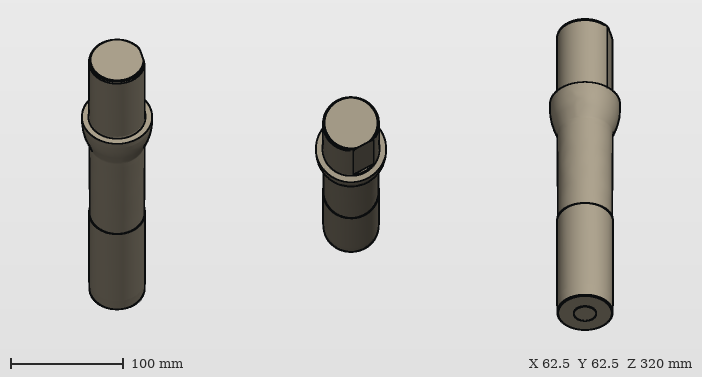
import cadquery as cq

overall_length = 320.0
flat_bottom = 243.2
flange_top = 241.0
flange_rim_bottom = 235.0
flare_bottom = 205.0
neck_bottom = 200.0
joint_height = 107.2
tip_taper_top = 14.0
tip_height = 1.0

shank_diameter = 50.0
flange_diameter = 62.5
neck_diameter = 49.5
waist_diameter = 48.5
head_diameter = 50.0
head_end_diameter = 49.3
tip_diameter = 20.0

flat_distance = 22.7
shank_chamfer = 1.5
chamfer_height = 3.0
chamfer_shoulder_inset = 0.5
chamfer_shoulder_depth = 1.0
collar_diameter = 51.0
head_chamfer = 1.0
flare_blend_height = 210.0

shank_radius = shank_diameter / 2
flange_radius = flange_diameter / 2
neck_radius = neck_diameter / 2
head_radius = head_diameter / 2
head_end_radius = head_end_diameter / 2

axial = (0, 1)
flare_blend_fraction = (flare_blend_height - flare_bottom) / (flange_rim_bottom - flare_bottom)
flare_blend_radius = neck_radius + flare_blend_fraction * (flange_radius - neck_radius)


def make_holder():
    """Shank, flange and tapered neck, turned as one piece."""
    profile = (
        cq.Workplane("XZ")
        .moveTo(0, joint_height)
        .lineTo(waist_diameter / 2, joint_height)
        .lineTo(neck_radius, neck_bottom)
        .lineTo(neck_radius, flare_bottom)
        .spline(
            [(flare_blend_radius, flare_blend_height), (flange_radius, flange_rim_bottom)],
            tangents=[axial, axial],
            includeCurrent=True,
        )
        .lineTo(flange_radius, flange_top)
        .lineTo(collar_diameter / 2, flange_top)
        .lineTo(shank_radius, flat_bottom)
        .lineTo(shank_radius, overall_length - chamfer_height)
        .lineTo(shank_radius - chamfer_shoulder_inset, overall_length - chamfer_shoulder_depth)
        .lineTo(shank_radius - shank_chamfer, overall_length)
        .lineTo(0, overall_length)
        .close()
    )
    holder = profile.revolve(360, (0, 0, 0), (0, 1, 0))
    return holder.cut(make_flat_cutter())


def make_flat_cutter():
    """Block that removes the +Y side of the shank above its round foot."""
    cutter_height = overall_length - flat_bottom
    cutter = cq.Workplane("XY").box(shank_diameter, shank_diameter, cutter_height, centered=(True, False, False))
    return cutter.translate((0, flat_distance, flat_bottom))


def make_head():
    """Round cutting head with a small centre boss on its lower end."""
    profile = (
        cq.Workplane("XZ")
        .lineTo(tip_diameter / 2, 0)
        .lineTo(tip_diameter / 2, tip_height)
        .lineTo(head_end_radius - head_chamfer, tip_height)
        .lineTo(head_end_radius, tip_height + head_chamfer)
        .lineTo(head_radius, tip_taper_top)
        .lineTo(head_radius, joint_height)
        .lineTo(0, joint_height)
        .close()
    )
    return profile.revolve(360, (0, 0, 0), (0, 1, 0))


holder = make_holder()
head = make_head()

result = cq.Compound.makeCompound([holder.val(), head.val()])